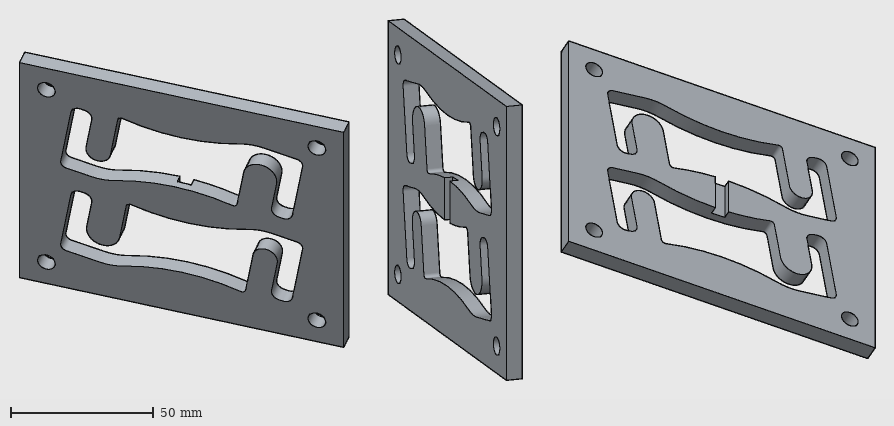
import cadquery as cq
import math

LENGTH = 120.0
THICKNESS = 6.0
HEIGHT = 100.0
HOLE_DIAMETER = 6.5
HOLE_INSET = 10.0

TILT = 9.0
WINDOW_RISE = 19.2
HALF_WIDTH = 42.5
FLAT_HEIGHT = 20.0
SLOT_WIDTH = 7.8
SLOT_END = 9.2
SLOT_FILLET = 3.1
CORNER_FILLET = 2.4
TIP_REACH = 11.9
NARROW_FINGER = 9.1
WIDE_FINGER = 12.4
FINGER_ROOT_FILLET = 1.5

BULGE_RADIUS = 80.4
BULGE_BLEND = 20.0
NARROW_BULGE_APEX = (0.0, 12.0)
WIDE_BULGE_APEX = (2.6, 11.4)

GROOVE_WIDTH = 5.2
GROOVE_DEPTH = 3.0
GROOVE_HEIGHT = 24.0

DIAGONAL = math.sqrt(0.5)


def half_outline(finger_width, bulge_apex):
    """Upper half of a window outline, from the left end wall to the right end wall.

    Each item is (end,) for a line or (middle, end) for an arc, in the tilted frame.
    """
    slot_left = -HALF_WIDTH
    finger_left = slot_left + SLOT_WIDTH
    finger_right = finger_left + finger_width
    tip_radius = finger_width / 2
    tip_center = -TIP_REACH + tip_radius
    finger_middle = finger_left + tip_radius

    def rounded(center_u, center_v, radius, side):
        """Middle and side-wall end of a quarter round, left (-1) or right (1)."""
        middle = (center_u + side * radius * DIAGONAL, center_v + radius * DIAGONAL)
        return middle, (center_u + side * radius, center_v)

    tilt = math.radians(TILT)
    apex_x, apex_z = bulge_apex
    center_z = apex_z + BULGE_RADIUS
    bulge_u = apex_x * math.cos(tilt) - center_z * math.sin(tilt)
    bulge_v = apex_x * math.sin(tilt) + center_z * math.cos(tilt)

    def on_bulge(u, v):
        """Point of the bulge circle in the direction of (u, v)."""
        reach = math.hypot(u - bulge_u, v - bulge_v)
        return (bulge_u + (u - bulge_u) * BULGE_RADIUS / reach,
                bulge_v + (v - bulge_v) * BULGE_RADIUS / reach)

    root_u = finger_right + FINGER_ROOT_FILLET
    root_v = bulge_v - math.sqrt((BULGE_RADIUS + FINGER_ROOT_FILLET) ** 2 - (root_u - bulge_u) ** 2)
    root_middle, _ = rounded(root_u, root_v, FINGER_ROOT_FILLET, -1)
    bulge_start = on_bulge(root_u, root_v)

    blend_v = FLAT_HEIGHT - BULGE_BLEND
    blend_u = bulge_u + math.sqrt((BULGE_RADIUS + BULGE_BLEND) ** 2 - (blend_v - bulge_v) ** 2)
    bulge_end = on_bulge(blend_u, blend_v)
    bulge_middle = on_bulge((bulge_start[0] + bulge_end[0]) / 2, (bulge_start[1] + bulge_end[1]) / 2)
    blend_angle = (math.pi / 2 + math.atan2(bulge_end[1] - blend_v, bulge_end[0] - blend_u)) / 2
    blend_middle = (blend_u + BULGE_BLEND * math.cos(blend_angle),
                    blend_v + BULGE_BLEND * math.sin(blend_angle))

    slot_v = SLOT_END - SLOT_FILLET
    slot_round_left = slot_left + SLOT_FILLET
    slot_round_right = finger_left - SLOT_FILLET
    left_middle, left_wall = rounded(slot_round_left, slot_v, SLOT_FILLET, -1)
    right_middle, right_wall = rounded(slot_round_right, slot_v, SLOT_FILLET, 1)
    corner_u = HALF_WIDTH - CORNER_FILLET
    corner_middle, corner_wall = rounded(corner_u, FLAT_HEIGHT - CORNER_FILLET, CORNER_FILLET, 1)

    return [
        (left_wall,),
        (left_middle, (slot_round_left, SLOT_END)),
        ((slot_round_right, SLOT_END),),
        (right_middle, right_wall),
        ((finger_left, tip_center),),
        ((finger_middle, -TIP_REACH), (finger_right, tip_center)),
        ((finger_right, root_v),),
        (root_middle, bulge_start),
        (bulge_middle, bulge_end),
        (blend_middle, (blend_u, FLAT_HEIGHT)),
        ((corner_u, FLAT_HEIGHT),),
        (corner_middle, corner_wall),
    ]


def upper_window():
    """Cutter for the upper window: narrow finger above, wide finger below."""
    upper = half_outline(NARROW_FINGER, NARROW_BULGE_APEX)
    lower = [
        tuple((-u, -v) for u, v in segment)
        for segment in half_outline(WIDE_FINGER, WIDE_BULGE_APEX)
    ]
    outline = upper + lower
    outline_start = outline[-1][-1]
    sketch = cq.Workplane("XZ").moveTo(*outline_start)
    for segment in outline:
        if len(segment) == 1:
            sketch = sketch.lineTo(*segment[0])
        else:
            sketch = sketch.threePointArc(*segment)
    cutter = sketch.close().extrude(THICKNESS, both=True)
    return cutter.rotate((0, 0, 0), (0, 1, 0), TILT).translate((0, 0, WINDOW_RISE))


plate = (
    cq.Workplane("XZ")
    .box(LENGTH, HEIGHT, THICKNESS)
    .faces("<Y")
    .workplane()
    .rect(LENGTH - 2 * HOLE_INSET, HEIGHT - 2 * HOLE_INSET, forConstruction=True)
    .vertices()
    .hole(HOLE_DIAMETER)
)

window = upper_window()
plate = plate.cut(window).cut(window.rotate((0, 0, 0), (0, 1, 0), 180))

groove = cq.Workplane("XY").box(GROOVE_WIDTH, GROOVE_DEPTH, GROOVE_HEIGHT)
result = plate.cut(groove.translate((0, (THICKNESS - GROOVE_DEPTH) / 2, 0)))